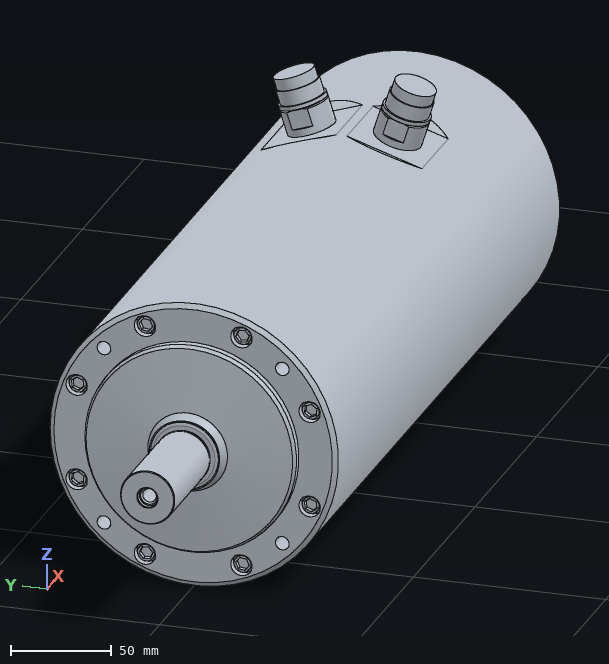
import cadquery as cq
import math


LENGTH = 440
HOUSING_DIAMETER = 150.0
FRONT_CHAMFER_X = 1.8
FRONT_CHAMFER_R = 2.5
REAR_CHAMFER_X = 2.5
REAR_CHAMFER_R = 1.5
FLANGE_FACE = 74.5
REAR_STUB_DIAMETER = 2.0
REAR_STUB_LENGTH = 1.5
REAR_FACE = LENGTH - REAR_STUB_LENGTH

PILOT_DIAMETER = 110
PILOT_CHAMFER_X = 2.0
PILOT_CHAMFER_R = 1.5
PILOT_FRONT = 68.0
CONE_TIP = 65.5
CONE_TIP_DIAMETER = 41.5

SHAFT_DIAMETER = 28.0
SHAFT_CHAMFER = 0.5
RELIEF_DIAMETER = 27.5
RELIEF_START = 57.5
COLLAR_FRONT = 59.5
COLLAR_FRONT_DIAMETER = 32.0
COLLAR_DIAMETER = 36.5
COLLAR_EDGE = 60.0
COLLAR_BACK = 60.5
NECK_DIAMETER = 35
NECK_END = 62.0

CENTRE_HOLE_DIAMETER = 7.0
CENTRE_HOLE_DEPTH = 26.5
CENTRE_MOUTH_DIAMETER = 11.0
CENTRE_MOUTH_CHAMFER = 0.5
CENTRE_MOUTH_DEPTH = 2.5
CENTRE_TAPER_DIAMETER = 9

HOLE_CIRCLE_RADIUS = 65.5
SCREW_COUNT = 8
SCREW_START_ANGLE = 22.5
SCREW_BORE_DIAMETER = 11.0
SCREW_BORE_DEPTH = 4.5
SCREW_HEAD_DIAMETER = 9
SCREW_HEAD_HEIGHT = 2.5
SOCKET_CORNER_DIAMETER = 7.0
MOUNTING_COUNT = 4
MOUNTING_START_ANGLE = 45
MOUNTING_DIAMETER = 7.0
MOUNTING_DEPTH = 17.5
DRILL_POINT_ANGLE = 118

CONNECTOR_X = 337.0
CONNECTOR_TILT = 18
SEAT_HEIGHT = 72.0
SEAT_LENGTH = 42.5
SEAT_END_SLOPE = 20
SEAT_CUT_CLEARANCE = 2.0

BASE_DIAMETER = 25.0
FLAT_WIDTH = 22.5
FLAT_BOTTOM = 4.0
BASE_EDGE = 13
BASE_TOP = 13.5
GROOVE_DIAMETER = 23.0
RING_BOTTOM = 14.0
RING_TOP = 16.5
SLEEVE_DIAMETER = 23.0
SLEEVE_TOP = 24.0
TIP_DIAMETER = 21.5
CONNECTOR_LENGTH = 30.5


def make_motor_blank():
    """Housing, pilot boss, collar and shaft, revolved about the X axis."""
    housing_radius = HOUSING_DIAMETER / 2
    pilot_radius = PILOT_DIAMETER / 2
    shaft_radius = SHAFT_DIAMETER / 2
    profile = [
        (0, 0),
        (0, shaft_radius - SHAFT_CHAMFER),
        (SHAFT_CHAMFER, shaft_radius),
        (RELIEF_START, shaft_radius),
        (RELIEF_START, RELIEF_DIAMETER / 2),
        (COLLAR_FRONT, RELIEF_DIAMETER / 2),
        (COLLAR_FRONT, COLLAR_FRONT_DIAMETER / 2),
        (COLLAR_EDGE, COLLAR_DIAMETER / 2),
        (COLLAR_BACK, COLLAR_DIAMETER / 2),
        (COLLAR_BACK, NECK_DIAMETER / 2),
        (NECK_END, NECK_DIAMETER / 2),
        (CONE_TIP, CONE_TIP_DIAMETER / 2),
        (PILOT_FRONT, pilot_radius - PILOT_CHAMFER_R),
        (PILOT_FRONT + PILOT_CHAMFER_X, pilot_radius),
        (FLANGE_FACE, pilot_radius),
        (FLANGE_FACE, housing_radius - FRONT_CHAMFER_R),
        (FLANGE_FACE + FRONT_CHAMFER_X, housing_radius),
        (REAR_FACE - REAR_CHAMFER_X, housing_radius),
        (REAR_FACE, housing_radius - REAR_CHAMFER_R),
        (REAR_FACE, REAR_STUB_DIAMETER / 2),
        (LENGTH, REAR_STUB_DIAMETER / 2),
        (LENGTH, 0),
    ]
    return cq.Workplane("XY").polyline(profile).close().revolve(360, (0, 0, 0), (1, 0, 0))


def make_drilled_hole(start, diameter, depth):
    """Cutter for a blind hole on the X axis, ending in a conical drill point."""
    radius = diameter / 2
    point_length = radius / math.tan(math.radians(DRILL_POINT_ANGLE / 2))
    profile = [
        (start, 0),
        (start, radius),
        (start + depth, radius),
        (start + depth + point_length, 0),
    ]
    return cq.Workplane("XY").polyline(profile).close().revolve(360, (0, 0, 0), (1, 0, 0))


def make_round_rod(start, diameter, length):
    """Plain cylinder along the X axis."""
    return cq.Workplane("YZ", origin=(start, 0, 0)).circle(diameter / 2).extrude(length)


def make_centre_hole():
    """Cutter for the shaft hole: chamfered mouth, then a short taper into the drilled hole."""
    mouth_radius = CENTRE_MOUTH_DIAMETER / 2
    taper_radius = CENTRE_TAPER_DIAMETER / 2
    hole_radius = CENTRE_HOLE_DIAMETER / 2
    taper_end = CENTRE_MOUTH_DEPTH + taper_radius - hole_radius
    profile = [
        (0, 0),
        (0, mouth_radius),
        (CENTRE_MOUTH_CHAMFER, mouth_radius - CENTRE_MOUTH_CHAMFER),
        (CENTRE_MOUTH_DEPTH, mouth_radius - CENTRE_MOUTH_CHAMFER),
        (CENTRE_MOUTH_DEPTH, taper_radius),
        (taper_end, hole_radius),
        (taper_end, 0),
    ]
    mouth = cq.Workplane("XY").polyline(profile).close().revolve(360, (0, 0, 0), (1, 0, 0))
    return mouth.union(make_drilled_hole(0, CENTRE_HOLE_DIAMETER, CENTRE_HOLE_DEPTH))


def make_screw_hole():
    """Cutter for a counterbore that leaves a sunken screw head with a hexagon socket."""
    bore = make_round_rod(FLANGE_FACE, SCREW_BORE_DIAMETER, SCREW_BORE_DEPTH)
    head_face = FLANGE_FACE + SCREW_BORE_DEPTH - SCREW_HEAD_HEIGHT
    head = make_round_rod(head_face, SCREW_HEAD_DIAMETER, SCREW_HEAD_HEIGHT)
    head_plane = cq.Workplane("YZ", origin=(head_face, 0, 0))
    socket = head_plane.polygon(6, SOCKET_CORNER_DIAMETER).extrude(SCREW_HEAD_HEIGHT)
    return bore.cut(head).union(socket)


def cut_hole_circle(body, hole, count, start_angle):
    """Cut equally spaced copies of a hole on the flange hole circle."""
    outer_hole = hole.translate((0, HOLE_CIRCLE_RADIUS, 0))
    for index in range(count):
        angle = start_angle + index * 360 / count
        body = body.cut(outer_hole.rotate((0, 0, 0), (1, 0, 0), angle))
    return body


def place_on_seat(shape, side):
    """Move a shape built upward from Z = 0 onto the seat leaning to side +Y (1) or -Y (-1)."""
    raised = shape.translate((CONNECTOR_X, 0, SEAT_HEIGHT))
    return raised.rotate((0, 0, 0), (1, 0, 0), -side * CONNECTOR_TILT)


def make_seat_cutter():
    """Flat-bottomed recess whose two ends slope up to the housing surface."""
    height = HOUSING_DIAMETER / 2 - SEAT_HEIGHT + SEAT_CUT_CLEARANCE
    half_bottom = SEAT_LENGTH / 2
    half_top = half_bottom + height / math.tan(math.radians(SEAT_END_SLOPE))
    profile = [(-half_bottom, 0), (half_bottom, 0), (half_top, height), (-half_top, height)]
    half_width = HOUSING_DIAMETER / 4
    return cq.Workplane("XZ").polyline(profile).close().extrude(half_width, both=True)


def make_motor():
    motor = make_motor_blank().cut(make_centre_hole())
    motor = cut_hole_circle(motor, make_screw_hole(), SCREW_COUNT, SCREW_START_ANGLE)
    mounting_hole = make_drilled_hole(FLANGE_FACE, MOUNTING_DIAMETER, MOUNTING_DEPTH)
    motor = cut_hole_circle(motor, mounting_hole, MOUNTING_COUNT, MOUNTING_START_ANGLE)
    for side in (1, -1):
        motor = motor.cut(place_on_seat(make_seat_cutter(), side))
    return motor


def make_connector():
    """Round connector standing on Z = 0, with two wrench flats on its base."""
    base_radius = BASE_DIAMETER / 2
    groove_radius = GROOVE_DIAMETER / 2
    profile = [
        (0, 0),
        (base_radius, 0),
        (base_radius, BASE_EDGE),
        (groove_radius, BASE_TOP),
        (groove_radius, RING_BOTTOM),
        (base_radius, RING_BOTTOM),
        (base_radius, RING_TOP),
        (SLEEVE_DIAMETER / 2, RING_TOP),
        (SLEEVE_DIAMETER / 2, SLEEVE_TOP),
        (TIP_DIAMETER / 2, SLEEVE_TOP),
        (TIP_DIAMETER / 2, CONNECTOR_LENGTH),
        (0, CONNECTOR_LENGTH),
    ]
    connector = cq.Workplane("XZ").polyline(profile).close().revolve(360, (0, 0, 0), (0, 1, 0))
    flat_height = BASE_TOP - FLAT_BOTTOM
    for side in (1, -1):
        flat_cutter = cq.Workplane("XY").box(
            BASE_DIAMETER, BASE_DIAMETER, flat_height, centered=(True, True, False)
        )
        offset = side * (FLAT_WIDTH + BASE_DIAMETER) / 2
        connector = connector.cut(flat_cutter.translate((offset, 0, FLAT_BOTTOM)))
    return connector


motor = make_motor()
connectors = [place_on_seat(make_connector(), side) for side in (1, -1)]

result = cq.Compound.makeCompound([motor.val(), *[connector.val() for connector in connectors]])